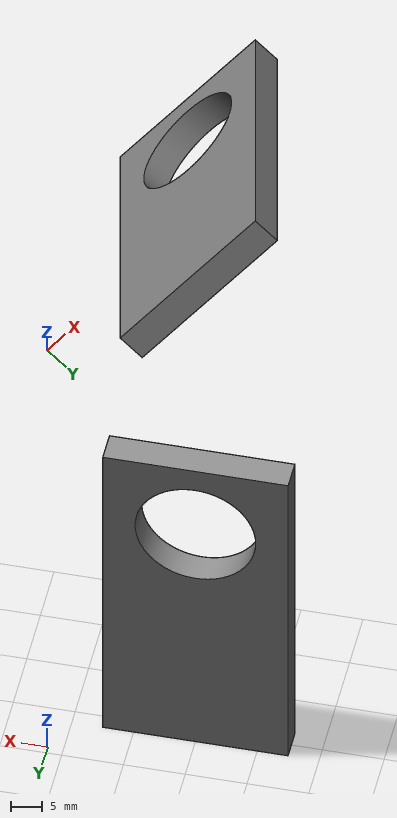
import cadquery as cq

height = 60.0
width = height / 2
thickness = 5.0
hole_diameter = 19.5
hole_to_top = 14.0

plate = cq.Workplane("XY").box(width, thickness, height)

hole_height = height / 2 - hole_to_top
result = (
    plate.faces("<Y")
    .workplane(origin=(0, 0, 0))
    .center(0, hole_height)
    .hole(hole_diameter)
)